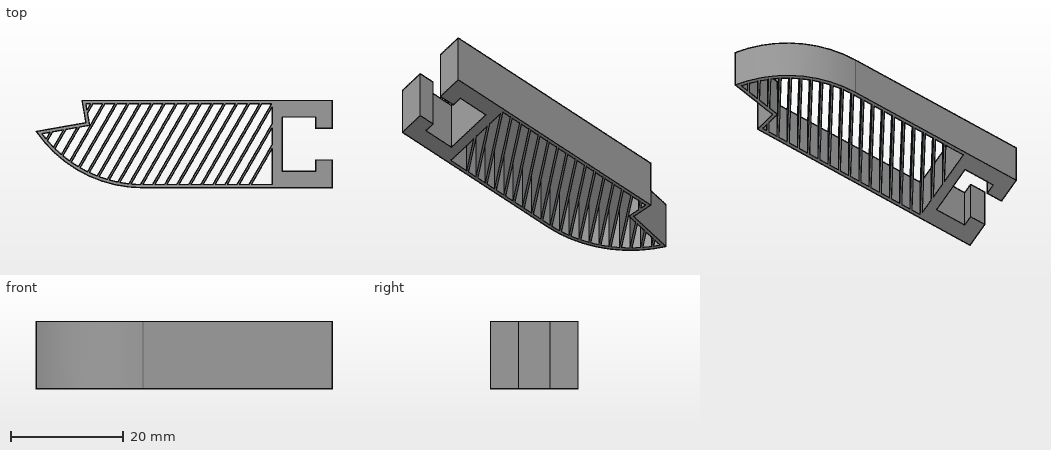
import cadquery as cq
import math

length = 52.8
width = 15.6
height = 12.0

wall = 0.61
tip_y = 10.08
arc_end_x = 19.05
notch_tilt = math.radians(10.0)
notch_floor_run = 8.85

cavity_end_x = 42.05
slot_depth = 5.9
slot_width = 9.6
lip_length = 3.0
mouth_width = 5.6

rib_angle = 60.0
rib_thickness = 0.38
rib_pitch_x = 2.15
rib_count = 20
last_rib_x = 37.81


def block(x_min, x_max, y_size):
    """Full-height block centred across the width."""
    return (
        cq.Workplane("XY")
        .center((x_min + x_max) / 2, width / 2)
        .rect(x_max - x_min, y_size)
        .extrude(height)
    )


def outline(end_x, inset=0.0):
    """Nose outline up to a straight end at end_x, its other sides moved inwards by inset."""
    cos_tilt = math.cos(notch_tilt)
    sin_tilt = math.sin(notch_tilt)
    full_radius = (arc_end_x**2 + tip_y**2) / (2 * tip_y)
    radius = full_radius - inset
    top_y = width - inset

    corner_x = notch_floor_run + inset * (cos_tilt + sin_tilt)
    corner_y = tip_y + notch_floor_run * math.tan(notch_tilt) + inset * (sin_tilt - cos_tilt)
    notch_top_x = corner_x - (top_y - corner_y) * math.tan(notch_tilt)

    from_centre_x = corner_x - arc_end_x
    from_centre_y = corner_y - full_radius
    along_floor = from_centre_x * cos_tilt + from_centre_y * sin_tilt
    off_floor = from_centre_y * cos_tilt - from_centre_x * sin_tilt
    floor_length = along_floor + math.sqrt(radius**2 - off_floor**2)
    nose_x = corner_x - floor_length * cos_tilt
    nose_y = corner_y - floor_length * sin_tilt

    half_sweep = math.asin((arc_end_x - nose_x) / radius) / 2
    arc_mid = (
        arc_end_x - radius * math.sin(half_sweep),
        full_radius - radius * math.cos(half_sweep),
    )
    return (
        cq.Workplane("XY")
        .moveTo(nose_x, nose_y)
        .threePointArc(arc_mid, (arc_end_x, inset))
        .lineTo(end_x, inset)
        .lineTo(end_x, top_y)
        .lineTo(notch_top_x, top_y)
        .lineTo(corner_x, corner_y)
        .close()
    )


def make_ribs(cavity):
    """Evenly spaced slanted ribs, trimmed to the cavity."""
    lean_x = width / 2 / math.tan(math.radians(rib_angle))
    rib_length = 2 * width
    centres = [
        (last_rib_x + lean_x - index * rib_pitch_x, width / 2)
        for index in range(rib_count)
    ]
    ribs = (
        cq.Workplane("XY")
        .pushPoints(centres)
        .slot2D(rib_length, rib_thickness, rib_angle)
        .extrude(height)
    )
    return ribs.intersect(cavity)


def make_channel():
    """T-shaped channel open at the tail."""
    slot_end_x = length - lip_length
    slot = block(slot_end_x - slot_depth, slot_end_x, slot_width)
    mouth = block(slot_end_x, length, mouth_width)
    return slot.union(mouth)


cavity = outline(cavity_end_x, wall).extrude(height)
body = outline(length).extrude(height)
result = body.cut(cavity).union(make_ribs(cavity)).cut(make_channel())